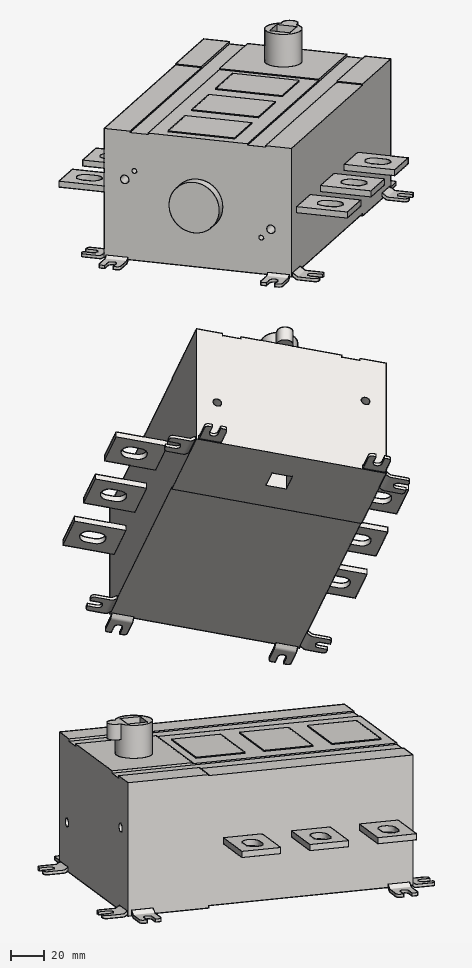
import cadquery as cq
import math

body_width = 120.0
body_length = 184.0
body_top = 84.7
front_bottom = 2.1
rear_bottom = 0.6
front_step = 0.6
split_y = 39.8
groove_inner_x = 31.9
groove_outer_x = 43.5
groove_depth = 1.5
mid_z = 42.2

pole_pitch = 43.9
pole_count = 3
middle_pole_y = -26.0
terminal_span = 185.0
terminal_width = 25.0
terminal_thickness = 3.9
slot_length = 16.0
slot_width = 11.0
slot_x = 77.3
label_width = 42.8
label_length = 31.7

knob_y = 66.1
knob_top = 105.5
knob_radius = 11.3
socket_size = 12.8
tab_radius = 5.0
tab_y = 78.3
tab_bottom = 95.7

disc_radius = 16.0
disc_height = 6.8
through_hole = (46.9, 11.0)
through_hole_diameter = 5.4
blind_hole = (40.7, 17.0)
blind_hole_diameter = 3.0
blind_hole_depth = 10.0

foot_reach_y = 107.0
foot_reach_x = 76.0
end_foot_x = 51.8
side_foot_y = 82.8
foot_width = 14.0
foot_thickness = 2.0
foot_rise = 2.4
foot_flat = 13.3
foot_embed = 4.3
bend_angle = 35
bend_inner_radius = 1.0
foot_notch_width = 5.4
foot_notch_depth = 8.5
foot_corner_radius = 2.1

rear_y = body_length / 2
front_y = -rear_y
pole_positions = [middle_pole_y + (i - (pole_count - 1) / 2) * pole_pitch for i in range(pole_count)]


def block(x0, x1, y0, y1, z0, z1):
    """Box between two opposite corners."""
    return cq.Workplane("XY").box(x1 - x0, y1 - y0, z1 - z0, centered=False).translate((x0, y0, z0))


def housing():
    half_width = body_width / 2
    front_top = body_top - front_step
    front = block(-half_width, half_width, front_y, split_y, front_bottom, front_top)
    rear = block(-half_width, half_width, split_y, rear_y, rear_bottom, body_top)
    body = front.union(rear)
    for y in pole_positions:
        label = cq.Workplane("XY", origin=(0, y, mid_z)).rect(label_width, label_length)
        body = body.union(label.extrude(body_top - mid_z))
    groove_floor = body_top - groove_depth
    body = body.cut(block(groove_inner_x, groove_outer_x, front_y, rear_y, groove_floor, body_top))
    return body.cut(block(-groove_outer_x, -groove_inner_x, front_y, rear_y, groove_floor, body_top))


def terminal(y):
    bar = cq.Workplane("XY", origin=(0, y, mid_z)).box(terminal_span, terminal_width, terminal_thickness)
    slots = (
        cq.Workplane("XY", origin=(0, y, mid_z - terminal_thickness / 2))
        .pushPoints([(-slot_x, 0), (slot_x, 0)])
        .slot2D(slot_length, slot_width)
        .extrude(terminal_thickness)
    )
    return bar.cut(slots)


def knob():
    barrel = cq.Workplane("XY", origin=(0, knob_y, mid_z)).circle(knob_radius).extrude(knob_top - mid_z)
    tab_height = knob_top - tab_bottom
    tab = cq.Workplane("XY", origin=(0, tab_y, tab_bottom)).circle(tab_radius).extrude(tab_height)
    neck = block(-tab_radius, tab_radius, knob_y, tab_y, tab_bottom, knob_top)
    return barrel.union(tab).union(neck)


def foot(wall_distance):
    """Foot with its tip at x = 0, running toward +X up to and into a wall at wall_distance."""
    ramp_run = foot_rise / math.tan(math.radians(bend_angle))
    setback = foot_thickness * math.tan(math.radians(bend_angle / 2))
    inner_end = wall_distance + foot_embed
    profile = [
        (0, 0),
        (foot_flat, 0),
        (foot_flat + ramp_run, foot_rise),
        (inner_end, foot_rise),
        (inner_end, foot_rise + foot_thickness),
        (foot_flat + ramp_run - setback, foot_rise + foot_thickness),
        (foot_flat - setback, foot_thickness),
        (0, foot_thickness),
    ]
    sheet = cq.Workplane("XZ").polyline(profile).close().extrude(foot_width / 2, both=True)

    lower_bend, lower_bend_top = profile[1], profile[6]
    for (x, z), radius in (
        (lower_bend_top, bend_inner_radius),
        (lower_bend, bend_inner_radius + foot_thickness),
    ):
        sheet = sheet.edges(cq.NearestToPointSelector((x, 0, z))).fillet(radius)

    sheet = sheet.edges("|Z and <X").fillet(foot_corner_radius)
    notch = cq.Workplane("XY").slot2D(2 * foot_notch_depth, foot_notch_width).extrude(foot_thickness)
    return sheet.cut(notch)


def turned(shape, angle):
    """Shape rotated about the vertical axis through the origin."""
    return shape.rotate((0, 0, 0), (0, 0, 1), angle)


def feet():
    """Two feet at each corner: one toward the side, one toward the end."""
    side_foot = foot(foot_reach_x - body_width / 2).translate((-foot_reach_x, 0, 0))
    end_foot = foot(foot_reach_y - body_length / 2).translate((-foot_reach_y, 0, 0))
    placed = []
    for side in (-1, 1):
        for angle in (0, 180):
            placed.append(turned(side_foot, angle).translate((0, side * side_foot_y, 0)))
            placed.append(turned(end_foot, angle + 90).translate((side * end_foot_x, 0, 0)))
    return placed


def end_wall_holes(offsets, diameter, depth):
    """Pair of holes drilled from the front wall, placed by point symmetry about the disc axis."""
    x, z = offsets
    return (
        cq.Workplane("XZ", origin=(0, front_y, mid_z))
        .pushPoints([(-x, z), (x, -z)])
        .circle(diameter / 2)
        .extrude(-depth)
    )


result = housing().union(knob())
for pole_y in pole_positions:
    result = result.union(terminal(pole_y))
for mounting_foot in feet():
    result = result.union(mounting_foot)

result = result.union(
    cq.Workplane("XZ", origin=(0, front_y, mid_z)).circle(disc_radius).extrude(disc_height)
)

half_socket = socket_size / 2
result = result.cut(
    block(-half_socket, half_socket, knob_y - half_socket, knob_y + half_socket, 0, knob_top)
)

result = result.cut(end_wall_holes(through_hole, through_hole_diameter, body_length))
result = result.cut(end_wall_holes(blind_hole, blind_hole_diameter, blind_hole_depth))